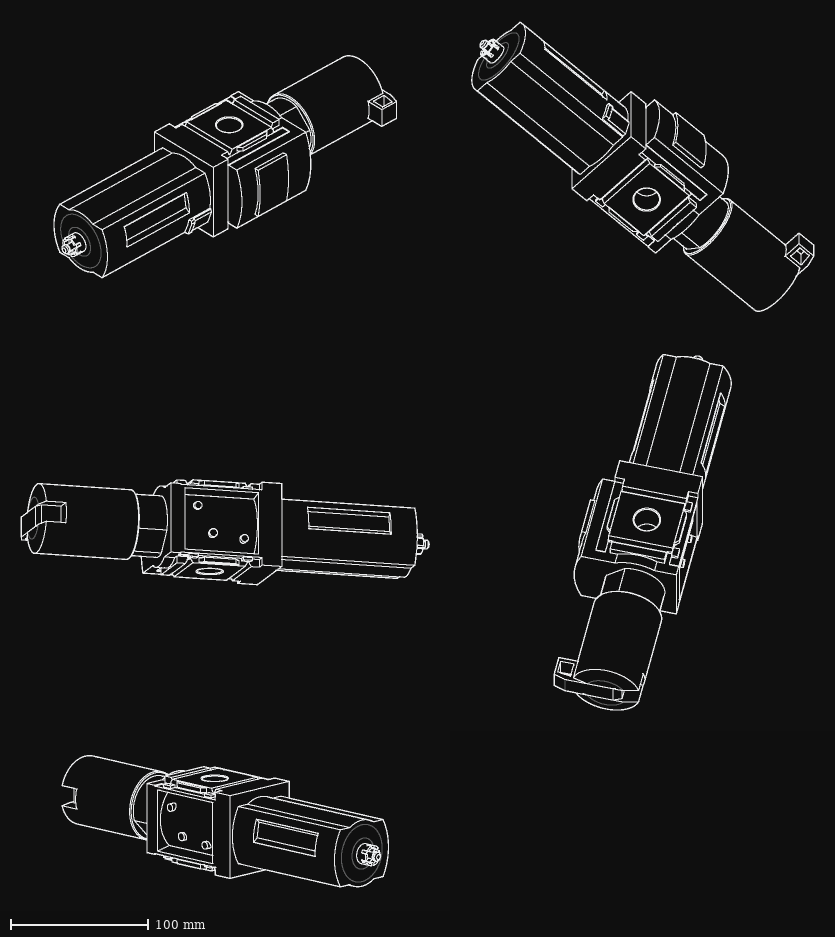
import cadquery as cq


block_half = 31.0
block_bottom = -45.6
shoulder = -30.6
plate_start = 30.9
block_top = 38.8
core_half_z = 25.3
plate_half_z = 25.9
collar_radius = 29.8

panel_half_x = 23.9
panel_notch_x = 20.3
panel_notch_y = 21.7
groove_outer = 24.4
groove_inner = 19.9
groove_depth = 4.0
tab_reach = 3.1
tab_half_long = 15.1
tab_half_short = 11.9
tab_drop = 0.7
tab_thickness = 3.3
hook_size_x = 4.6
hook_size_y = 7.0
hook_height = 2.0
hook_y = 20.6
port_diameter = 18.63
port_mouth_diameter = 20.0
port_depth = 20.0

recess_half_y = 27.9
recess_half_z = 22.9
recess_floor_half_z = 20.8
recess_depth = 12.2
inner_cylinder_radius = 28.0
pin_end_x = -29.0
pins = [
    (5.5, 17.2, 11.1),
    (6.0, 5.7, -8.7),
    (5.5, -18.0, -11.3),
]

gauge_edge_x = 40.1
gauge_crown_x = 45.5
window_edge_x = 45.5
window_crown_x = 47.6
window_half_y = 14.3
window_half_z = 20.5

bowl_bottom = -149.2
bowl_reach_left = 28.5
bowl_reach_right = 28.0
bowl_flat_x = 22.3
bowl_flat_z = 21.4
bowl_hump_radius = 24.8
sight_top_y = -66.8
sight_bottom_y = -129.4
latch_size_y = 21.1
latch_lip_y = 3.5
latch_thickness = 3.8
latch_lip_rise = 1.3
latch_root_x = 21.5
latch_low_z = -20.5
latch_crest_z = -9.6
latch_high_z = -7.3
latch_crest_offset = 3.8
latch_high_offset = 3.2
latch_root_offset = 4.0
sight_section = [
    (-29.5, -0.8),
    (-28.0, -0.8),
    (-24.5, 2.0),
    (-22.6, 13.3),
    (-24.9, 15.9),
    (-29.5, 15.9),
]

dish_radius = 21.3
dish_tip_radius = 11.5
dish_tip = -150.5
drain_neck_diameter = 10.0
drain_neck_length = 0.8
drain_diameter = 15.0
drain_bore_diameter = 11.45
drain_end = -160.3
drain_slot_width = 2.3
drain_slot_depth = 4.5
drain_slot_count = 6
stem_diameter = 5.0
flange_diameter = 6.6
flange_start = -163.0
flange_end = -165.0
tip_diameter = 3.8
stem_end = -166.2

neck_radius = 22.5
neck_flat_distance = 20.2
neck_flat_angles = (45, 225)
knob_start = 60.8
knob_radius = 25.5
knob_chamfer = 0.8
knob_rim = 131.3
knob_end = 134.1
knob_flat_radius = 15.3

slide_half_z = 7.5
slide_bottom = 116.4
slide_inner_x = -12.0
slide_slope_x = -6.0
loop_outer_x = 38.8
loop_bend_x = 30.0
loop_corner_y = 131.4
loop_hole_inner_x = 26.8
loop_hole_outer_x = 36.7
loop_hole_bottom = 119.4
loop_hole_top = 130.2
loop_hole_top_outer = 128.8


def box(x0, x1, y0, y1, z0, z1):
    """Box between two opposite corners."""
    return cq.Workplane("XY").box(x1 - x0, y1 - y0, z1 - z0, centered=False).translate((x0, y0, z0))


def from_profile(profile, y0, y1):
    """Prism along Y from an XZ outline drawn on a plane whose normal is -Y."""
    return profile.extrude(y1 - y0).translate((0, y1, 0))


def cylinder(radius, y0, y1):
    """Cylinder on the main axis."""
    return from_profile(cq.Workplane("XZ").circle(radius), y0, y1)


def both_sides(shape):
    """The shape and its mirror image on the -Z side."""
    return shape.union(shape.mirror("XY"))


def make_block():
    foot = box(-block_half, block_half, block_bottom, shoulder, -block_half, block_half)
    core = box(-block_half, block_half, shoulder, plate_start, -core_half_z, core_half_z)
    plate = box(-block_half, block_half, plate_start, block_top, -plate_half_z, plate_half_z)
    collar = cylinder(collar_radius, plate_start, block_top)
    return foot.union(core).union(plate).union(collar)


def make_groove(y_start, y_end):
    """V-shaped cutter across the port panel."""
    return (
        cq.Workplane("YZ", origin=(-panel_half_x, 0, 0))
        .moveTo(y_start, block_half)
        .lineTo(y_end, block_half)
        .lineTo((y_start + y_end) / 2, block_half - groove_depth)
        .close()
        .extrude(2 * panel_half_x)
    )


def make_panel():
    """Raised panel on the +Z side with grooves, corner notches, side tabs and hooks."""
    panel = box(-panel_half_x, panel_half_x, shoulder, plate_start, core_half_z, block_half)
    for side in (-1, 1):
        notch_x = sorted((side * panel_notch_x, side * panel_half_x))
        panel = panel.cut(box(*notch_x, panel_notch_y, plate_start, plate_half_z, block_half))
        panel = panel.cut(make_groove(side * groove_inner, side * groove_outer))
        tab = (
            cq.Workplane("XY", origin=(0, 0, block_half - tab_drop - tab_thickness))
            .moveTo(side * panel_half_x, -tab_half_long)
            .lineTo(side * (panel_half_x + tab_reach), -tab_half_short)
            .lineTo(side * (panel_half_x + tab_reach), tab_half_short)
            .lineTo(side * panel_half_x, tab_half_long)
            .close()
            .extrude(tab_thickness)
        )
        hook = (
            cq.Workplane("XY", origin=(-panel_half_x - hook_size_x / 2, side * hook_y, core_half_z))
            .rect(hook_size_x, hook_size_y)
            .extrude(hook_height)
        )
        panel = panel.union(tab).union(hook)
    return panel


def make_port():
    """Cutter for the port on the +Z side, with a chamfered mouth."""
    mouth_depth = (port_mouth_diameter - port_diameter) / 2
    return (
        cq.Workplane("XZ")
        .lineTo(port_mouth_diameter / 2, 0)
        .lineTo(port_diameter / 2, -mouth_depth)
        .lineTo(port_diameter / 2, -port_depth)
        .lineTo(0, -port_depth)
        .close()
        .revolve(360, (0, 0, 0), (0, 1, 0))
        .translate((0, 0, block_half))
    )


def make_recess():
    """Cutter for the -X recess with tapered walls, leaving the inner cylinder and its pins standing."""
    profile = cq.Workplane("XZ").polyline(
        [
            (-block_half, -recess_half_z),
            (-block_half + recess_depth, -recess_floor_half_z),
            (-block_half + recess_depth, recess_floor_half_z),
            (-block_half, recess_half_z),
        ]
    ).close()
    recess = from_profile(profile, -recess_half_y, recess_half_y)
    recess = recess.cut(cylinder(inner_cylinder_radius, -recess_half_y, recess_half_y))
    for diameter, y, z in pins:
        pin = (
            cq.Workplane("YZ", origin=(pin_end_x, y, z))
            .circle(diameter / 2)
            .extrude(recess_depth)
        )
        recess = recess.cut(pin)
    return recess


def crowned(back_x, edge_x, crown_x, half_z, y0, y1):
    """Slab on the +X side with an outward curved face."""
    profile = (
        cq.Workplane("XZ")
        .moveTo(back_x, -half_z)
        .lineTo(edge_x, -half_z)
        .threePointArc((crown_x, 0), (edge_x, half_z))
        .lineTo(back_x, half_z)
        .close()
    )
    return from_profile(profile, y0, y1)


def make_gauge():
    housing = crowned(block_half, gauge_edge_x, gauge_crown_x, plate_half_z, shoulder, block_top)
    window = crowned(
        block_half, window_edge_x, window_crown_x, window_half_z, -window_half_y, window_half_y
    )
    return housing.union(window)


def make_sight_pocket():
    """Cutter for the sight window in the -X side of the bowl, with sloping walls."""
    profile = cq.Workplane("XZ").polyline(sight_section).close()
    return from_profile(profile, sight_bottom_y, sight_top_y)


def latch_section(thickness):
    """Slanted latch outline that stands out from the bowl side by the given thickness in X."""
    return cq.Workplane("XZ").polyline(
        [
            (latch_root_x, latch_low_z),
            (latch_root_x + thickness, latch_low_z),
            (latch_root_x + thickness + latch_crest_offset, latch_crest_z),
            (latch_root_x + thickness + latch_high_offset, latch_high_z),
            (latch_root_x + latch_root_offset, latch_high_z),
        ]
    ).close()


def make_latch():
    """Bowl latch at the lower +X corner, with a lip at its end."""
    latch_end = block_bottom - latch_size_y
    bar = from_profile(latch_section(latch_thickness), latch_end, block_bottom)
    lip = from_profile(
        latch_section(latch_thickness + latch_lip_rise), latch_end, latch_end + latch_lip_y
    )
    return bar.union(lip)


def make_bowl():
    profile = (
        cq.Workplane("XZ")
        .moveTo(-bowl_flat_x, -bowl_flat_z)
        .lineTo(bowl_flat_x, -bowl_flat_z)
        .threePointArc((bowl_reach_right, 0), (bowl_flat_x, bowl_flat_z))
        .lineTo(-bowl_flat_x, bowl_flat_z)
        .threePointArc((-bowl_reach_left, 0), (-bowl_flat_x, -bowl_flat_z))
        .close()
    )
    bowl = from_profile(profile, bowl_bottom, block_bottom)
    bowl = bowl.union(cylinder(bowl_hump_radius, bowl_bottom, block_bottom))
    pocket = make_sight_pocket()
    return bowl.cut(pocket).cut(pocket.mirror("YZ")).union(make_latch())


def make_drain():
    dish = (
        cq.Workplane("XY")
        .moveTo(0, bowl_bottom)
        .lineTo(dish_radius, bowl_bottom)
        .lineTo(dish_tip_radius, dish_tip)
        .lineTo(0, dish_tip)
        .close()
        .revolve(360, (0, 0, 0), (0, 1, 0))
    )
    slot_start = drain_end + drain_slot_depth
    neck_end = dish_tip - drain_neck_length
    neck = cylinder(drain_neck_diameter / 2, neck_end, dish_tip)
    sleeve = cylinder(drain_diameter / 2, drain_end, neck_end)
    sleeve = sleeve.cut(cylinder(drain_bore_diameter / 2, drain_end, slot_start))
    for index in range(drain_slot_count):
        slot = box(
            -drain_slot_width / 2, drain_slot_width / 2,
            drain_end, slot_start,
            0, drain_diameter,
        )
        sleeve = sleeve.cut(slot.rotate((0, 0, 0), (0, 1, 0), index * 360 / drain_slot_count))
    stem = cylinder(stem_diameter / 2, flange_start, slot_start)
    flange = (
        cq.Workplane("XY")
        .moveTo(0, flange_start)
        .lineTo(flange_diameter / 2, flange_start)
        .lineTo(flange_diameter / 2, flange_end)
        .lineTo(tip_diameter / 2, stem_end)
        .lineTo(0, stem_end)
        .close()
        .revolve(360, (0, 0, 0), (0, 1, 0))
    )
    return dish.union(neck).union(sleeve).union(stem).union(flange)


def make_neck():
    neck = cylinder(neck_radius, block_top, knob_start)
    for angle in neck_flat_angles:
        flat = box(
            neck_flat_distance, 2 * neck_radius,
            block_top, knob_start,
            -neck_radius, neck_radius,
        )
        neck = neck.cut(flat.rotate((0, 0, 0), (0, 1, 0), -angle))
    return neck


def make_knob():
    """Turned knob with a sloping end and a slot across it, open at the end."""
    barrel = (
        cq.Workplane("XY")
        .moveTo(0, knob_start)
        .lineTo(knob_radius - knob_chamfer, knob_start)
        .lineTo(knob_radius, knob_start + knob_chamfer)
        .lineTo(knob_radius, knob_rim)
        .lineTo(knob_flat_radius, knob_end)
        .lineTo(0, knob_end)
        .close()
        .revolve(360, (0, 0, 0), (0, 1, 0))
    )
    slot = box(
        -knob_radius, knob_radius,
        slide_bottom, knob_end,
        -slide_half_z, slide_half_z,
    )
    return barrel.cut(slot)


def make_regulator():
    body = make_block().union(both_sides(make_panel()))
    body = body.cut(make_recess()).cut(both_sides(make_port()))
    body = body.union(make_gauge()).union(make_bowl()).union(make_drain())
    return body.union(make_neck()).union(make_knob())


def make_slide():
    """Locking slide that fills the slot and ends in a loop for a padlock."""
    outline = (
        cq.Workplane("XY", origin=(0, 0, -slide_half_z))
        .moveTo(slide_inner_x, slide_bottom)
        .lineTo(loop_outer_x, slide_bottom)
        .lineTo(loop_outer_x, loop_corner_y)
        .lineTo(loop_bend_x, knob_end)
        .lineTo(slide_slope_x, knob_end)
        .lineTo(slide_inner_x, knob_rim)
        .close()
    )
    slide = outline.extrude(2 * slide_half_z)
    hole = (
        cq.Workplane("XY", origin=(0, 0, -slide_half_z))
        .moveTo(loop_hole_inner_x, loop_hole_bottom)
        .lineTo(loop_hole_outer_x, loop_hole_bottom)
        .lineTo(loop_hole_outer_x, loop_hole_top_outer)
        .lineTo(loop_hole_inner_x, loop_hole_top)
        .close()
        .extrude(2 * slide_half_z)
    )
    return slide.cut(hole)


regulator = make_regulator()
slide = make_slide()
result = cq.Compound.makeCompound([regulator.val(), slide.val()])